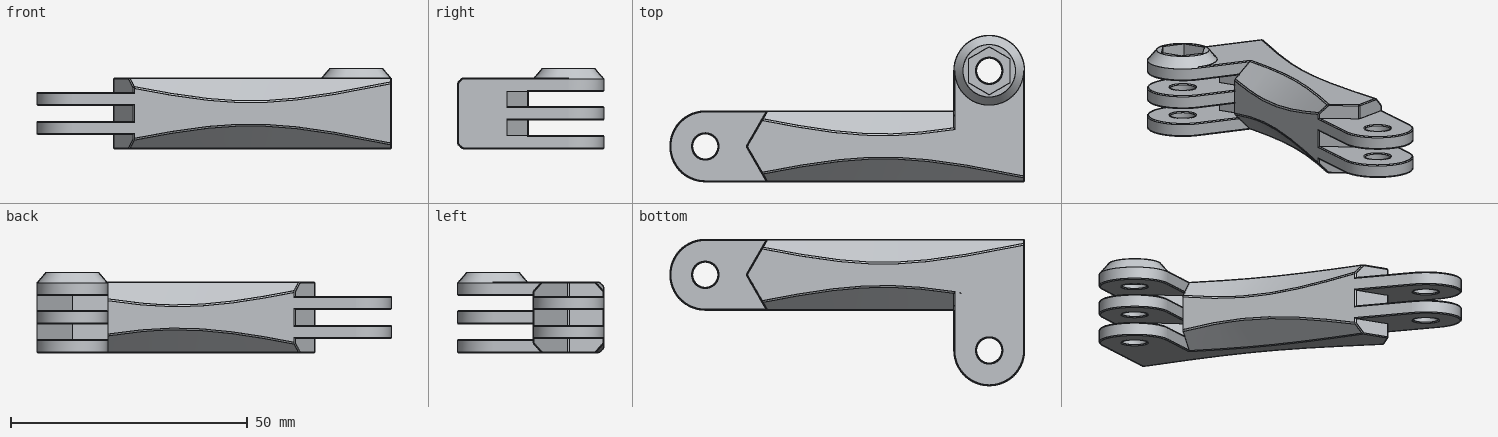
import cadquery as cq
import math

arm_width = 15.0
half_width = arm_width / 2
total_length = 75.0
total_depth = 31.0
arm_end_x = total_length - half_width
edge_chamfer = 0.2
bolt_diameter = 5.3

point_x = 8.6
point_angle = 30.0
shoulder_x = point_x + half_width * math.tan(math.radians(point_angle))

flat_at_point = 6.4
flat_at_waist = 2.5
flat_at_end = 6.5
waist_x = 37.5
end_slope = 0.14

fork_pitch = 6.15
fork_thickness = 2.8

leg_x = arm_end_x - half_width
leg_start_x = arm_end_x - arm_width
leg_hole_y = total_depth - arm_width
leg_thickness = 2.85
leg_pitch = (arm_width - leg_thickness) / 2

boss_height = 2.0
boss_base_radius = half_width - edge_chamfer
boss_top_radius = 5.55
nut_across_flats = 8.8
nut_pocket_depth = 3.6


def bevel_cutter(turn):
    """Material outside one curved bevel, turned about the arm axis."""
    def reach(flat):
        return (half_width + flat) / math.sqrt(2)

    return (
        cq.Workplane("XZ", origin=(0, arm_width, 0))
        .moveTo(point_x, reach(flat_at_point))
        .spline(
            [(waist_x, reach(flat_at_waist)), (arm_end_x, reach(flat_at_end))],
            tangents=[(1, -end_slope), (1, end_slope)],
            includeCurrent=True,
        )
        .lineTo(arm_end_x, arm_width)
        .lineTo(point_x, arm_width)
        .close()
        .extrude(2 * arm_width)
        .rotate((0, 0, 0), (1, 0, 0), turn)
    )


def make_arm():
    arm = (
        cq.Workplane("XY", origin=(0, 0, -half_width))
        .polyline([
            (point_x, 0),
            (shoulder_x, -half_width),
            (arm_end_x, -half_width),
            (arm_end_x, half_width),
            (shoulder_x, half_width),
        ])
        .close()
        .extrude(arm_width)
    )
    for turn in (-135, -45, 45, 135):
        arm = arm.cut(bevel_cutter(turn))
    return arm


def make_leg_notch():
    """Space between the outer leg prongs, with a pointed floor like the arm's end at the fork."""
    half_gap = leg_pitch - leg_thickness / 2
    return (
        cq.Workplane("XY", origin=(0, 0, -half_gap))
        .polyline([
            (leg_start_x, leg_hole_y),
            (leg_start_x, leg_hole_y - shoulder_x),
            (leg_x, leg_hole_y - point_x),
            (arm_end_x, leg_hole_y - shoulder_x),
            (arm_end_x, leg_hole_y),
        ])
        .close()
        .extrude(2 * half_gap)
    )


def make_prong(length, thickness, mid_z):
    """Prong along +X, its round end centred on the origin and its edges broken there."""
    prong = (
        cq.Workplane("XY", origin=(0, 0, mid_z - thickness / 2))
        .moveTo(length, -half_width)
        .lineTo(0, -half_width)
        .threePointArc((-half_width, 0), (0, half_width))
        .lineTo(length, half_width)
        .close()
        .extrude(thickness)
        .faces(">Z").workplane(origin=(0, 0, 0)).hole(bolt_diameter)
    )
    return prong.faces("|Z").edges("not >X").chamfer(edge_chamfer)


def make_nut_boss():
    return (
        cq.Workplane("XY", origin=(leg_x, leg_hole_y, half_width))
        .circle(boss_base_radius)
        .workplane(offset=boss_height)
        .circle(boss_top_radius)
        .loft()
    )


def make_nut_pocket():
    """Hexagon with two flats facing along X, and the broken rim of the bolt hole in its floor."""
    across_corners = nut_across_flats / math.cos(math.radians(30))
    floor_z = half_width + boss_height - nut_pocket_depth
    floor = cq.Workplane("XY", origin=(leg_x, leg_hole_y, floor_z))
    hexagon = floor.transformed(rotate=(0, 0, 90)).polygon(6, across_corners).extrude(nut_pocket_depth)
    rim = (
        floor.circle(bolt_diameter / 2 + edge_chamfer)
        .workplane(offset=-edge_chamfer)
        .circle(bolt_diameter / 2)
        .loft()
    )
    return hexagon.union(rim)


result = make_arm().edges().chamfer(edge_chamfer).cut(make_leg_notch())

for side in (-1, 1):
    result = result.union(make_prong(arm_width, fork_thickness, side * fork_pitch / 2))
for level in (-1, 0, 1):
    prong = make_prong(leg_hole_y, leg_thickness, level * leg_pitch)
    prong = prong.rotate((0, 0, 0), (0, 0, 1), -90).translate((leg_x, leg_hole_y, 0))
    result = result.union(prong)

result = result.union(make_nut_boss()).cut(make_nut_pocket())